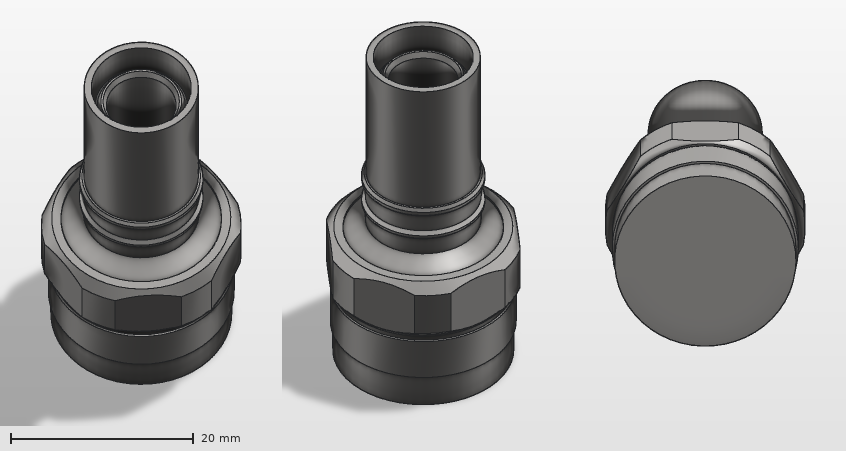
import cadquery as cq
import math

total_height = 40.5

sleeve_radius = 9.92
band_diameter = 20.37
band_radius = band_diameter / 2
band_bottom = 3.95
band_top = 8.95

nut_across_flats = 20.6
nut_corner_radius = 10.95
nut_bottom = 9.8
nut_top = 17.0
nut_top_chamfer = 1.15
nut_bottom_chamfer = 0.85
undercut_top_radius = nut_corner_radius - nut_bottom_chamfer
undercut_bottom = 9.48

neck_radius = 6.35
shoulder_top = 18.15
shoulder_base_radius = 8.8
shoulder_angle = 60.0

ring_radius = 6.75
ring_bevel = ring_radius - neck_radius
lower_ring_bottom = 20.2
lower_ring_top = 21.35
upper_ring_bottom = 23.35
neck_top = 24.55
neck_top_radius = 6.5
neck_top_bevel_height = 0.35

tube_diameter = 12.5
tube_radius = tube_diameter / 2
tube_bore_radius = 5.45
annular_floor = neck_top
barb_radius = 5.05
barb_shoulder_radius = 4.8
post_tip_radius = 4.4
post_bore_mouth_radius = 4.17
post_bore_radius = 3.8
post_top = 38.0
barb_taper_angle = 30.0
barb_shoulder_angle = 60.0
mouth_angle = 30.0

post_bore_floor = nut_top
step_bore_radius = 2.8
step_bore_depth = 2.02
pin_bore_radius = 1.4
pin_bore_depth = 2.02


def cone_height(large_radius, small_radius, angle_from_axis):
    return (large_radius - small_radius) / math.tan(math.radians(angle_from_axis))


def revolve_profile(points):
    """Turn an (r, z) outline around the Z axis."""
    return cq.Workplane("YZ").polyline(points).close().revolve(360, (0, 0), (0, 1))


def make_body():
    shoulder_base = shoulder_top - cone_height(shoulder_base_radius, neck_radius, shoulder_angle)
    return revolve_profile([
        (0, 0),
        (sleeve_radius, 0),
        (sleeve_radius, band_bottom),
        (band_radius, band_bottom),
        (band_radius, band_top),
        (sleeve_radius, band_top),
        (sleeve_radius, undercut_bottom),
        (undercut_top_radius, nut_bottom),
        (shoulder_base_radius, nut_bottom),
        (shoulder_base_radius, shoulder_base),
        (neck_radius, shoulder_top),
        (neck_radius, lower_ring_bottom),
        (ring_radius, lower_ring_bottom + ring_bevel),
        (ring_radius, lower_ring_top - ring_bevel),
        (neck_radius, lower_ring_top),
        (neck_radius, upper_ring_bottom),
        (ring_radius, upper_ring_bottom + ring_bevel),
        (ring_radius, neck_top - neck_top_bevel_height),
        (neck_top_radius, neck_top),
        (tube_radius, neck_top),
        (tube_radius, total_height),
        (0, total_height),
    ])


def make_nut():
    nut_height = nut_top - nut_bottom
    hexagon = (
        cq.Workplane("XY", origin=(0, 0, nut_bottom))
        .polygon(6, nut_across_flats, circumscribed=True)
        .extrude(nut_height)
    )
    turned_blank = revolve_profile([
        (shoulder_base_radius, nut_bottom),
        (undercut_top_radius, nut_bottom),
        (nut_corner_radius, nut_bottom + nut_bottom_chamfer),
        (nut_corner_radius, nut_top - nut_top_chamfer),
        (nut_corner_radius - nut_top_chamfer, nut_top),
        (shoulder_base_radius, nut_top),
    ])
    return turned_blank.intersect(hexagon)


def make_annular_gap():
    """Space between the outer tube and the post, with the barb on its inner wall."""
    barb_shoulder_z = post_top - cone_height(barb_shoulder_radius, post_tip_radius, barb_taper_angle)
    barb_z = barb_shoulder_z - cone_height(barb_radius, barb_shoulder_radius, barb_shoulder_angle)
    return revolve_profile([
        (barb_radius, annular_floor),
        (tube_bore_radius, annular_floor),
        (tube_bore_radius, total_height),
        (0, total_height),
        (0, post_top),
        (post_tip_radius, post_top),
        (barb_shoulder_radius, barb_shoulder_z),
        (barb_radius, barb_z),
    ])


def make_bore():
    mouth_depth = cone_height(post_bore_mouth_radius, post_bore_radius, mouth_angle)
    step_bore_floor = post_bore_floor - step_bore_depth
    pin_bore_floor = step_bore_floor - pin_bore_depth
    return revolve_profile([
        (0, pin_bore_floor),
        (pin_bore_radius, pin_bore_floor),
        (pin_bore_radius, step_bore_floor),
        (step_bore_radius, step_bore_floor),
        (step_bore_radius, post_bore_floor),
        (post_bore_radius, post_bore_floor),
        (post_bore_radius, post_top - mouth_depth),
        (post_bore_mouth_radius, post_top),
        (0, post_top),
    ])


result = make_body().union(make_nut()).cut(make_annular_gap()).cut(make_bore())